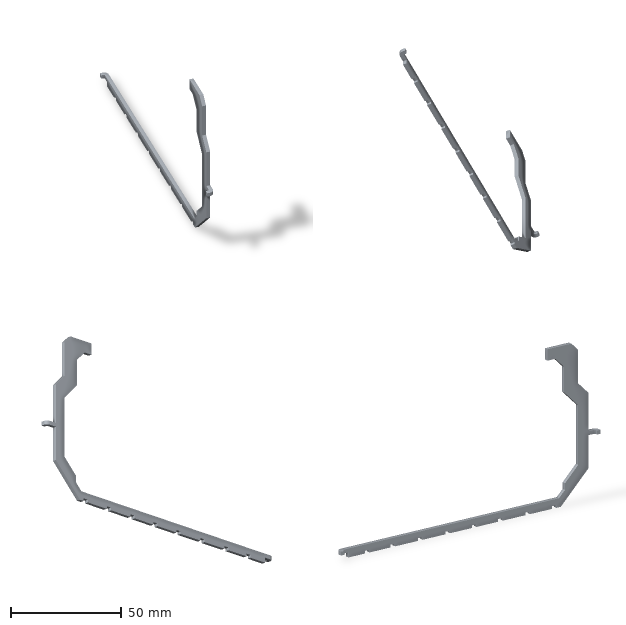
import cadquery as cq
import math

total_length = 144.4
total_height = 77.4
plate_thickness = 1.9
clip_depth = 3.5

rail_height = 4.3
rail_start = 5.2
rail_end = 123.5

upright_right = 138.8
upright_left = 133.1
neck_left = 125.3
outer_bend_top = 51.8
inner_bend_top = 47.0
inner_bend_bottom = 18.2

gusset_left = 125.8
gusset_bottom = 7.7

hook_left = 116.1
hook_bottom = 71.9
hook_inner_chamfer = 4.9
hook_outer_chamfer = 3.8

clip_height = 1.9
clip_bend_radius = 2.2
clip_toe_width = 1.9
side_clip_bottom = 31.3

notch_centers = [15.7, 29.9, 45.2, 60.5, 75.2, 89.8, 105.0, 119.7]
notch_width = 2.6
notch_height = 1.3


def make_plate():
    """Flat frame outline, traced anticlockwise; every sloping edge is at 45 degrees."""
    outline = [
        (rail_start, 0),
        (rail_end, 0),
        (upright_right, upright_right - rail_end),
        (upright_right, outer_bend_top),
        (upright_left, outer_bend_top + upright_right - upright_left),
        (upright_left, total_height - hook_outer_chamfer),
        (upright_left - hook_outer_chamfer, total_height),
        (hook_left, total_height),
        (hook_left, hook_bottom),
        (neck_left - hook_inner_chamfer, hook_bottom),
        (neck_left, hook_bottom - hook_inner_chamfer),
        (neck_left, inner_bend_top + upright_left - neck_left),
        (upright_left, inner_bend_top),
        (upright_left, inner_bend_bottom),
        (gusset_left, inner_bend_bottom - (upright_left - gusset_left)),
        (gusset_left, gusset_bottom),
        (gusset_left - (gusset_bottom - rail_height), rail_height),
        (rail_start, rail_height),
    ]
    return cq.Workplane("XZ").polyline(outline).close().extrude(plate_thickness)


def make_clip(tip_x, root_x, bottom):
    """Clip from the plate edge at root_x, rounding toward -Y into a toe at tip_x."""
    inward = 1 if root_x > tip_x else -1
    bend_center_x = tip_x + inward * clip_bend_radius
    bend_offset = clip_bend_radius * math.sqrt(0.5)
    toe_inner_x = tip_x + inward * clip_toe_width
    profile = (
        cq.Workplane("XY", origin=(0, 0, bottom))
        .moveTo(root_x, 0)
        .lineTo(bend_center_x, 0)
        .threePointArc(
            (bend_center_x - inward * bend_offset, bend_offset - clip_bend_radius),
            (tip_x, -clip_bend_radius),
        )
        .lineTo(tip_x, -clip_depth)
        .lineTo(toe_inner_x, -clip_depth)
        .lineTo(toe_inner_x, -clip_bend_radius)
        .lineTo(bend_center_x, -clip_bend_radius)
        .lineTo(bend_center_x, -plate_thickness)
        .lineTo(root_x, -plate_thickness)
        .close()
    )
    return profile.extrude(clip_height)


def make_notches():
    """Square-cornered cutters, open at the underside of the rail."""
    cutters = cq.Workplane("XZ")
    for center in notch_centers:
        cutters = cutters.moveTo(center, notch_height / 2).rect(notch_width, notch_height)
    return cutters.extrude(plate_thickness)


rail_clip = make_clip(0, rail_start, rail_height - clip_height)
side_clip = make_clip(total_length, upright_right, side_clip_bottom)

result = make_plate().union(rail_clip).union(side_clip).cut(make_notches())